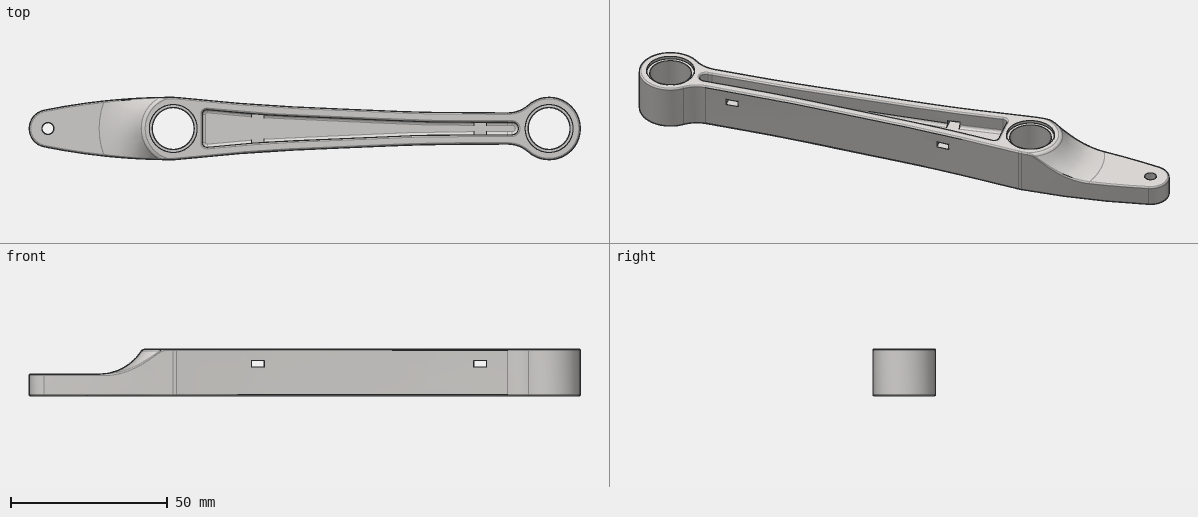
import cadquery as cq
import math

HEIGHT = 15.0
PIVOT_RADIUS = 10.0
EYE_X = 120.0
EYE_RADIUS = 10.0

TIP_X = -40.0
TIP_RADIUS = 6.0
TIP_HEIGHT = 7.0
TIP_HOLE_DIAMETER = 3.7
RAMP_RADIUS = 16.0
RAMP_AXIS_X = 1.0
RAMP_TOP_RADIUS = 10.8
RAMP_TOP_FILLET = 1.5

ARM_START_X = 1.0
ARM_START_HALF_WIDTH = 9.95
ARM_SHAPE = [(29.0, 7.42), (54.0, 6.25), (81.0, 5.15)]
ARM_END_HALF_WIDTH = 5.0
ARM_START_SLOPE = -0.09
EYE_BLEND_RADIUS = 10.0

BORE_DIAMETER = 13.3
COUNTERBORE_DIAMETER = 15.3
COUNTERBORE_DEPTH = 1.0

WALL = 3.0
POCKET_START_X = 9.3
POCKET_END_X = 110.2
POCKET_FLOOR_Z = 9.3
POCKET_CORNER_RADIUS = 1.5
POCKET_FLOOR_FILLET = 1.0

WINDOW_CENTERS_X = (27.0, 98.0)
WINDOW_LENGTH = 4.0
WINDOW_HEIGHT = 2.0

EDGE_FILLET = 0.5
CUT_MARGIN = 5.0
TOLERANCE = 0.001

BLEND_CENTER_Y = ARM_END_HALF_WIDTH + EYE_BLEND_RADIUS
ARM_END_X = EYE_X - math.sqrt((EYE_RADIUS + EYE_BLEND_RADIUS) ** 2 - BLEND_CENTER_Y**2)
ARM_POINTS = [(ARM_START_X, ARM_START_HALF_WIDTH), *ARM_SHAPE, (ARM_END_X, ARM_END_HALF_WIDTH)]
ARM_TANGENTS = [(1, ARM_START_SLOPE), (1, 0)]
ARM_RETURN_TANGENTS = [(-1, 0), (-1, ARM_START_SLOPE)]


def mirrored(point):
    """The same point on the other side of the X axis."""
    return (point[0], -point[1])


def arc_point(center, radius, angle):
    """Point on a circle at an angle in radians from +X."""
    return (center[0] + radius * math.cos(angle), center[1] + radius * math.sin(angle))


def make_body():
    """Full-height plate with the outline of the lever."""
    flank_radius = (TIP_X**2 + PIVOT_RADIUS**2 - TIP_RADIUS**2) / (2 * (PIVOT_RADIUS - TIP_RADIUS))
    flank_center = (0, PIVOT_RADIUS - flank_radius)
    tangent_angle = math.atan2(-flank_center[1], TIP_X)
    tip_tangent = arc_point((TIP_X, 0), TIP_RADIUS, tangent_angle)
    flank_mid = arc_point(flank_center, flank_radius, (tangent_angle + math.pi / 2) / 2)
    pivot_side = (0, PIVOT_RADIUS)

    blend_center = (ARM_END_X, BLEND_CENTER_Y)
    blend_angle = math.atan2(-BLEND_CENTER_Y, EYE_X - ARM_END_X)
    blend_mid = arc_point(blend_center, EYE_BLEND_RADIUS, (blend_angle - math.pi / 2) / 2)
    eye_tangent = arc_point(blend_center, EYE_BLEND_RADIUS, blend_angle)

    return (
        cq.Workplane("XY")
        .moveTo(*tip_tangent)
        .threePointArc(flank_mid, pivot_side)
        .lineTo(*ARM_POINTS[0])
        .spline(ARM_POINTS[1:], tangents=ARM_TANGENTS, includeCurrent=True)
        .threePointArc(blend_mid, eye_tangent)
        .threePointArc((EYE_X + EYE_RADIUS, 0), mirrored(eye_tangent))
        .threePointArc(mirrored(blend_mid), mirrored(ARM_POINTS[-1]))
        .spline(
            [mirrored(p) for p in reversed(ARM_POINTS[:-1])],
            tangents=ARM_RETURN_TANGENTS,
            includeCurrent=True,
        )
        .lineTo(*mirrored(pivot_side))
        .threePointArc(mirrored(flank_mid), mirrored(tip_tangent))
        .threePointArc((TIP_X - TIP_RADIUS, 0), tip_tangent)
        .close()
        .extrude(HEIGHT)
    )


def make_ramp_cut():
    """Space above the tip, with a concave ramp swept around a vertical axis near the pivot."""
    rise = HEIGHT - TIP_HEIGHT
    top_angle = math.acos((RAMP_RADIUS - rise) / RAMP_RADIUS)
    foot = RAMP_TOP_RADIUS + RAMP_RADIUS * math.sin(top_angle)
    ramp_mid = (
        -foot + RAMP_RADIUS * math.sin(top_angle / 2),
        TIP_HEIGHT + RAMP_RADIUS * (1 - math.cos(top_angle / 2)),
    )
    reach = RAMP_AXIS_X + TIP_RADIUS - TIP_X + CUT_MARGIN
    ring = (
        cq.Workplane("XZ")
        .moveTo(-RAMP_TOP_RADIUS, HEIGHT)
        .threePointArc(ramp_mid, (-foot, TIP_HEIGHT))
        .lineTo(-reach, TIP_HEIGHT)
        .lineTo(-reach, HEIGHT + CUT_MARGIN)
        .lineTo(-RAMP_TOP_RADIUS, HEIGHT + CUT_MARGIN)
        .close()
        .revolve(360, (0, 0), (0, 1))
        .translate((RAMP_AXIS_X, 0, 0))
    )
    tip_side = (
        cq.Workplane("XY")
        .box(reach, 2 * reach, HEIGHT + CUT_MARGIN, centered=(False, True, False))
        .translate((-reach, 0, 0))
    )
    return ring.intersect(tip_side)


def make_pocket():
    """Blind pocket following the arm outline, with a filleted floor."""
    end_radius = ARM_END_HALF_WIDTH - WALL
    wall_points = [(x, y - WALL) for x, y in ARM_POINTS]
    end = (POCKET_END_X - end_radius, end_radius)
    outline = (
        cq.Workplane("XY", origin=(0, 0, POCKET_FLOOR_Z))
        .moveTo(*wall_points[0])
        .spline(wall_points[1:], tangents=ARM_TANGENTS, includeCurrent=True)
        .lineTo(*end)
        .threePointArc((POCKET_END_X, 0), mirrored(end))
        .lineTo(*mirrored(wall_points[-1]))
        .spline(
            [mirrored(p) for p in reversed(wall_points[:-1])],
            tangents=ARM_RETURN_TANGENTS,
            includeCurrent=True,
        )
        .close()
        .extrude(HEIGHT - POCKET_FLOOR_Z)
    )
    clear_of_pivot = cq.Workplane("XY", origin=(POCKET_START_X, 0, 0)).box(
        POCKET_END_X, 2 * PIVOT_RADIUS, HEIGHT, centered=(False, True, False)
    )
    return (
        outline.intersect(clear_of_pivot)
        .faces("<X")
        .edges("<Y or >Y")
        .fillet(POCKET_CORNER_RADIUS)
        .faces("<Z")
        .edges()
        .fillet(POCKET_FLOOR_FILLET)
    )


def make_stepped_bore(x):
    """Through bore with a shallow counterbore in the top face."""
    bore = cq.Workplane("XY").center(x, 0).circle(BORE_DIAMETER / 2).extrude(HEIGHT)
    counterbore = (
        cq.Workplane("XY", origin=(x, 0, HEIGHT - COUNTERBORE_DEPTH))
        .circle(COUNTERBORE_DIAMETER / 2)
        .extrude(COUNTERBORE_DEPTH)
    )
    return bore.union(counterbore)


def make_window(x):
    """Rectangular opening across both side walls of the pocket."""
    return cq.Workplane("XY", origin=(x, 0, POCKET_FLOOR_Z)).box(
        WINDOW_LENGTH, 2 * PIVOT_RADIUS, WINDOW_HEIGHT, centered=(True, True, False)
    )


def is_ramp_arc(edge):
    """True for the arcs across the lever at the foot and the top of the ramp."""
    if edge.geomType() != "CIRCLE":
        return False
    center = edge.arcCenter()
    return math.hypot(center.x - RAMP_AXIS_X, center.y) < TOLERANCE


def is_rounded_rim(edge):
    """True for edges along the outline, top and bottom, but not across the ramp."""
    upright = edge.geomType() == "LINE" and edge.BoundingBox().zlen > TOLERANCE
    return not upright and not is_ramp_arc(edge)


body = make_body().cut(make_ramp_cut())
ramp_top = [e for e in body.faces(">Z").edges().vals() if is_ramp_arc(e)]
body = body.newObject(ramp_top).fillet(RAMP_TOP_FILLET)
body = body.newObject([e for e in body.edges().vals() if is_rounded_rim(e)]).fillet(EDGE_FILLET)

body = body.cut(make_pocket())
pocket_rim = body.faces(">Z").val().innerWires()[0]
body = body.newObject(pocket_rim.Edges()).fillet(EDGE_FILLET)

for bore_x in (0, EYE_X):
    body = body.cut(make_stepped_bore(bore_x))
for window_x in WINDOW_CENTERS_X:
    body = body.cut(make_window(window_x))
tip_hole = cq.Workplane("XY").center(TIP_X, 0).circle(TIP_HOLE_DIAMETER / 2).extrude(TIP_HEIGHT)
result = body.cut(tip_hole)